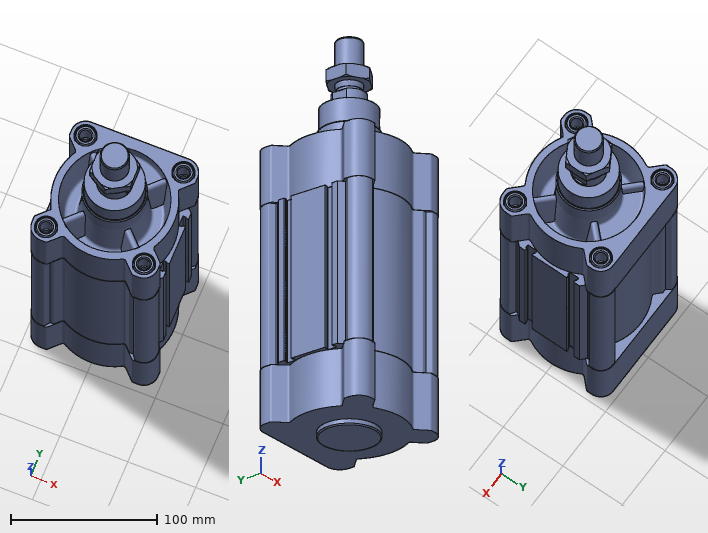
import cadquery as cq
import math

CAP_BOTTOM = 4.2
BARREL_BOTTOM = 47.3
BARREL_TOP = 169.3
CAP_TOP = 212.2
COLLAR_STEP = 229.0
COLLAR_TOP = 246.5
ROD_SHOULDER = 257.5
ROD_TIP = 297.5

CAP_HALF_WIDTH = 46.5
BARREL_INSET = 0.3
SHELL_RADIUS = 43.7
BOLT_OFFSET = 36.0
LOBE_FLANK_OFFSET = 15.0
OUTLINE_FILLET = 2.5
LOBE_ROOT_FILLET = 2.0

BOSS_DIAMETER = 45.0
BOSS_CHAMFER = 1.0
COLLAR_DIAMETER = 42.0
COLLAR_WAIST_DIAMETER = 41.7

POCKET_RADIUS = 38.5
POCKET_WALL_DRAFT = 8.0
HUB_DRAFT = 5.5
POCKET_DEPTH = 29.8
SHALLOW_POCKET_DEPTH = 8.0
SHALLOW_FLOOR_FILLET = 1.5
POCKET_FLOOR_FILLET = 2.0

RIB_CREST_DEPTH = 2.0
RIB_EDGE_DIAMETER = 4.5
RIB_CREST_WIDTH = 0.3
RIB_SIDE_DRAFT = 8.0

RAIL_HALF_WIDTH = 25.3
GROOVE_DEPTH = 4.0
GROOVE_FLOOR_WIDTH = 3.0
GROOVE_WALL_RUN = 2.7
GROOVE_EDGE_FILLET = 1.0
SLOT_OFFSET = 17.5
SLOT_MOUTH_WIDTH = 6.0
SLOT_MOUTH_DEPTH = 2.5
SLOT_INNER_WIDTH = 7.5
SLOT_DEPTH = 4.5

OVERRUN = 3.0

EDGE_TOLERANCE = 0.3

HEAD_BORE_DIAMETER = 15.8
HEAD_DIAMETER = 15.0
HEAD_CHAMFER = 1.0
HEAD_GAP_DEPTH = 3.0
THREAD_DIAMETER = 8.3
THREAD_CHAMFER = 1.0
THREAD_DEPTH = 15.0
SOCKET_DIAMETER = 6.2
SOCKET_DEPTH = 6.0

ROD_DIAMETER = 25.0
ROD_THREAD_DIAMETER = 20.0
ROD_THREAD_START = 263.5
ROD_NECK_DIAMETER = 18.0
ROD_NECK_CHAMFER = 1.0
ROD_THREAD_CONE_HEIGHT = 2.7
ROD_TIP_DIAMETER = 18.5
ROD_TIP_CHAMFER_HEIGHT = 1.2
WRENCH_FLAT_WIDTH = 22.0
WRENCH_FLAT_START = 1.8

NUT_BOTTOM = 265.0
NUT_HEIGHT = 9.8
NUT_ACROSS_FLATS = 30.0
NUT_FACE_DIAMETER = 31.0
NUT_CORNER_DROP = 1.0


def slope(angle):
    """Sideways run per unit of depth for a draft angle in degrees."""
    return math.tan(math.radians(angle))


def revolved(profile):
    """Solid of revolution about Z from a closed (radius, z) profile."""
    return cq.Workplane("XZ").polyline(profile).close().revolve(360, (0, 0, 0), (0, 1, 0))


def fillet_vertical_edges(body, axis_distance, fillet):
    """Round the vertical edges that lie at the given distance from the axis."""
    edges = [
        edge
        for edge in body.edges("|Z").vals()
        if abs(math.hypot(edge.Center().x, edge.Center().y) - axis_distance) < EDGE_TOLERANCE
    ]
    return body.newObject(edges).fillet(fillet)


def four_way(feature):
    """The feature and its three mirror images about the XZ and YZ planes."""
    pair = feature.union(feature.mirror("YZ"))
    return pair.union(pair.mirror("XZ"))


def lobe_flank_offset(inset):
    """X or Y intercept of a 45 degree lobe flank moved inward by the inset."""
    return LOBE_FLANK_OFFSET - inset * math.sqrt(2)


def lobed_prism(inset, bottom, top):
    """Round shell with four corner lobes, each a diagonal strip with a rounded end."""
    height = top - bottom
    half_width = CAP_HALF_WIDTH - inset
    shell_radius = SHELL_RADIUS - inset
    flank_offset = lobe_flank_offset(inset)
    shoulder = half_width - flank_offset
    plane = cq.Workplane("XY").workplane(offset=bottom)
    lobe = (
        plane.moveTo(flank_offset, 0)
        .lineTo(half_width, shoulder)
        .lineTo(half_width, half_width)
        .lineTo(shoulder, half_width)
        .lineTo(0, flank_offset)
        .close()
        .extrude(height)
    )
    corner_distance = math.hypot(half_width, half_width)
    shoulder_distance = math.hypot(half_width, shoulder)
    lobe = fillet_vertical_edges(lobe, corner_distance, half_width - BOLT_OFFSET)
    lobe = fillet_vertical_edges(lobe, shoulder_distance, OUTLINE_FILLET)
    prism = plane.circle(shell_radius).extrude(height).union(four_way(lobe))
    return fillet_vertical_edges(prism, shell_radius, LOBE_ROOT_FILLET)


def end_cap(bottom, top):
    """Lobed cap, filled out to a flat face on the +Y side."""
    flat_side = (
        cq.Workplane("XY")
        .workplane(offset=bottom)
        .center(0, CAP_HALF_WIDTH / 2)
        .rect(2 * BOLT_OFFSET, CAP_HALF_WIDTH)
        .extrude(top - bottom)
    )
    return lobed_prism(0, bottom, top).union(flat_side)


def barrel():
    half_width = CAP_HALF_WIDTH - BARREL_INSET
    height = BARREL_TOP - BARREL_BOTTOM
    plane = cq.Workplane("XY").workplane(offset=BARREL_BOTTOM)
    floor = half_width - GROOVE_DEPTH

    flank = floor - lobe_flank_offset(BARREL_INSET)
    wall_foot = flank + GROOVE_FLOOR_WIDTH
    wall_top = wall_foot + GROOVE_WALL_RUN
    groove_points = [
        (flank - OVERRUN, floor),
        (wall_foot, floor),
        (wall_top, half_width),
        (wall_top, half_width + OVERRUN),
        (flank - OVERRUN, half_width + OVERRUN),
    ]
    groove = plane.polyline(groove_points).close().extrude(height)
    groove = groove.union(plane.polyline([(y, x) for x, y in groove_points]).close().extrude(height))

    rail = (
        plane.moveTo(0, -RAIL_HALF_WIDTH - GROOVE_DEPTH)
        .lineTo(floor, -RAIL_HALF_WIDTH - GROOVE_DEPTH)
        .lineTo(half_width, -RAIL_HALF_WIDTH)
        .lineTo(half_width, RAIL_HALF_WIDTH)
        .lineTo(floor, RAIL_HALF_WIDTH + GROOVE_DEPTH)
        .lineTo(0, RAIL_HALF_WIDTH + GROOVE_DEPTH)
        .close()
        .extrude(height)
    )

    inner_depth = SLOT_DEPTH - SLOT_MOUTH_DEPTH
    mouth = (
        plane.center(half_width - SLOT_MOUTH_DEPTH / 2, SLOT_OFFSET)
        .rect(SLOT_MOUTH_DEPTH, SLOT_MOUTH_WIDTH)
        .extrude(height)
    )
    inner = (
        plane.center(half_width - SLOT_DEPTH + inner_depth / 2, SLOT_OFFSET)
        .rect(inner_depth, SLOT_INNER_WIDTH)
        .extrude(height)
    )

    body = lobed_prism(BARREL_INSET, BARREL_BOTTOM, BARREL_TOP).cut(four_way(groove))
    inner_edge = math.hypot(floor, flank)
    outer_edge = math.hypot(half_width, wall_top)
    for edge_distance in (inner_edge, outer_edge):
        body = fillet_vertical_edges(body, edge_distance, GROOVE_EDGE_FILLET)
    return body.union(rail).union(rail.mirror("YZ")).cut(four_way(mouth.union(inner)))


def pocket_ring(depth, floor_fillet):
    """Drafted ring between the hub and the cap wall, with a rounded floor."""
    hub_radius = BOSS_DIAMETER / 2
    floor = CAP_TOP - depth
    ring = revolved(
        [
            (hub_radius, CAP_TOP),
            (POCKET_RADIUS, CAP_TOP),
            (POCKET_RADIUS - depth * slope(POCKET_WALL_DRAFT), floor),
            (hub_radius + depth * slope(HUB_DRAFT), floor),
        ]
    )
    return ring.faces("<Z").edges().fillet(floor_fillet)


def rib_bars():
    """Two crossed bars at 45 degrees with round edges, a narrow flat crest and drafted sides."""
    radius = RIB_EDGE_DIAMETER / 2
    crest = CAP_TOP - RIB_CREST_DEPTH
    arc_foot = crest - radius
    base = CAP_TOP - POCKET_DEPTH
    crest_half = RIB_CREST_WIDTH / 2
    rib_half = crest_half + radius
    base_half = rib_half + (arc_foot - base) * slope(RIB_SIDE_DRAFT)
    diagonal = radius * math.sqrt(0.5)
    bar = (
        cq.Workplane("XZ")
        .moveTo(-base_half, base)
        .lineTo(-rib_half, arc_foot)
        .threePointArc((-crest_half - diagonal, arc_foot + diagonal), (-crest_half, crest))
        .lineTo(crest_half, crest)
        .threePointArc((crest_half + diagonal, arc_foot + diagonal), (rib_half, arc_foot))
        .lineTo(base_half, base)
        .close()
        .extrude(POCKET_RADIUS, both=True)
    )
    bars = bar.rotate((0, 0, 0), (0, 0, 1), 45)
    return bars.union(bar.rotate((0, 0, 0), (0, 0, 1), -45))


def cut_ring_pocket(cap):
    """Cut the ring pocket in four sectors between the ribs; the +Y sector is shallow."""
    reach = 2 * CAP_HALF_WIDTH
    shallow_sector = (
        cq.Workplane("XY")
        .workplane(offset=CAP_TOP - POCKET_DEPTH)
        .polyline([(0, 0), (reach, reach), (-reach, reach)])
        .close()
        .extrude(POCKET_DEPTH)
    )
    raised_floor = shallow_sector.cut(pocket_ring(SHALLOW_POCKET_DEPTH, SHALLOW_FLOOR_FILLET))
    pocket = pocket_ring(POCKET_DEPTH, POCKET_FLOOR_FILLET).cut(raised_floor.union(rib_bars()))
    return cap.cut(pocket)


def screw_head_cut():
    """Gap around one chamfered screw head, with its threaded hole and socket."""
    head_radius = HEAD_DIAMETER / 2
    bore_radius = HEAD_BORE_DIAMETER / 2
    thread_radius = THREAD_DIAMETER / 2
    socket_radius = SOCKET_DIAMETER / 2
    gap_floor = CAP_TOP - HEAD_GAP_DEPTH
    thread_floor = CAP_TOP - THREAD_DEPTH
    gap = revolved(
        [
            (head_radius - HEAD_CHAMFER, CAP_TOP),
            (bore_radius, CAP_TOP),
            (bore_radius, gap_floor),
            (head_radius, gap_floor),
            (head_radius, CAP_TOP - HEAD_CHAMFER),
        ]
    )
    hole = revolved(
        [
            (0, CAP_TOP),
            (thread_radius + THREAD_CHAMFER, CAP_TOP),
            (thread_radius, CAP_TOP - THREAD_CHAMFER),
            (thread_radius, thread_floor),
            (socket_radius, thread_floor),
            (socket_radius, thread_floor - SOCKET_DEPTH),
            (0, thread_floor - SOCKET_DEPTH),
        ]
    )
    return gap.union(hole).translate((BOLT_OFFSET, BOLT_OFFSET, 0))


def collar():
    """Guide collar on the front cap: a chamfered step below a slightly waisted top."""
    step_radius = BOSS_DIAMETER / 2
    top_radius = COLLAR_DIAMETER / 2
    step = cq.Workplane("XY").workplane(offset=CAP_TOP).circle(step_radius).extrude(COLLAR_STEP - CAP_TOP)
    step = step.faces(">Z").edges().chamfer(BOSS_CHAMFER)
    top = (
        cq.Workplane("XZ")
        .moveTo(0, COLLAR_STEP)
        .lineTo(top_radius, COLLAR_STEP)
        .threePointArc(
            (COLLAR_WAIST_DIAMETER / 2, (COLLAR_STEP + COLLAR_TOP) / 2),
            (top_radius, COLLAR_TOP),
        )
        .lineTo(0, COLLAR_TOP)
        .close()
        .revolve(360, (0, 0, 0), (0, 1, 0))
    )
    return step.union(top)


def rear_boss():
    boss = cq.Workplane("XY").circle(BOSS_DIAMETER / 2).extrude(CAP_BOTTOM)
    return boss.faces("<Z").edges().chamfer(BOSS_CHAMFER)


def make_housing():
    front_cap = cut_ring_pocket(end_cap(BARREL_TOP, CAP_TOP)).cut(four_way(screw_head_cut()))
    rear_cap = end_cap(CAP_BOTTOM, BARREL_BOTTOM)
    return rear_cap.union(barrel()).union(front_cap).union(collar()).union(rear_boss())


def make_piston_rod():
    """Stepped rod standing on the collar, with two wrench flats facing +X and -X."""
    rod_radius = ROD_DIAMETER / 2
    neck_radius = ROD_NECK_DIAMETER / 2
    thread_radius = ROD_THREAD_DIAMETER / 2
    tip_radius = ROD_TIP_DIAMETER / 2
    cone_bottom = ROD_THREAD_START - ROD_THREAD_CONE_HEIGHT
    rod = revolved(
        [
            (0, COLLAR_TOP),
            (rod_radius, COLLAR_TOP),
            (rod_radius, ROD_SHOULDER),
            (neck_radius + ROD_NECK_CHAMFER, ROD_SHOULDER),
            (neck_radius, ROD_SHOULDER + ROD_NECK_CHAMFER),
            (neck_radius, cone_bottom),
            (tip_radius, cone_bottom),
            (thread_radius, ROD_THREAD_START),
            (thread_radius, ROD_TIP - ROD_TIP_CHAMFER_HEIGHT),
            (tip_radius, ROD_TIP),
            (0, ROD_TIP),
        ]
    )
    flat_bottom = COLLAR_TOP + WRENCH_FLAT_START
    across_flats = (
        cq.Workplane("XY")
        .workplane(offset=flat_bottom)
        .rect(WRENCH_FLAT_WIDTH, ROD_DIAMETER)
        .extrude(ROD_SHOULDER - flat_bottom)
    )
    flat_zone = (
        cq.Workplane("XY")
        .workplane(offset=flat_bottom)
        .circle(ROD_DIAMETER)
        .extrude(ROD_SHOULDER - flat_bottom)
    )
    return rod.cut(flat_zone.cut(across_flats))


def make_lock_nut():
    """Hexagon nut with corners on the Y axis, chamfered on both faces."""
    corner_radius = NUT_ACROSS_FLATS / math.sqrt(3)
    face_radius = NUT_FACE_DIAMETER / 2
    top = NUT_BOTTOM + NUT_HEIGHT
    hexagon = (
        cq.Workplane("XY")
        .workplane(offset=NUT_BOTTOM)
        .polygon(6, 2 * corner_radius)
        .extrude(NUT_HEIGHT)
        .rotate((0, 0, 0), (0, 0, 1), 90)
    )
    chamfered_blank = revolved(
        [
            (ROD_THREAD_DIAMETER / 2, NUT_BOTTOM),
            (face_radius, NUT_BOTTOM),
            (corner_radius, NUT_BOTTOM + NUT_CORNER_DROP),
            (corner_radius, top - NUT_CORNER_DROP),
            (face_radius, top),
            (ROD_THREAD_DIAMETER / 2, top),
        ]
    )
    return hexagon.intersect(chamfered_blank)


housing = make_housing()
piston_rod = make_piston_rod()
lock_nut = make_lock_nut()

result = cq.Compound.makeCompound([housing.val(), piston_rod.val(), lock_nut.val()])